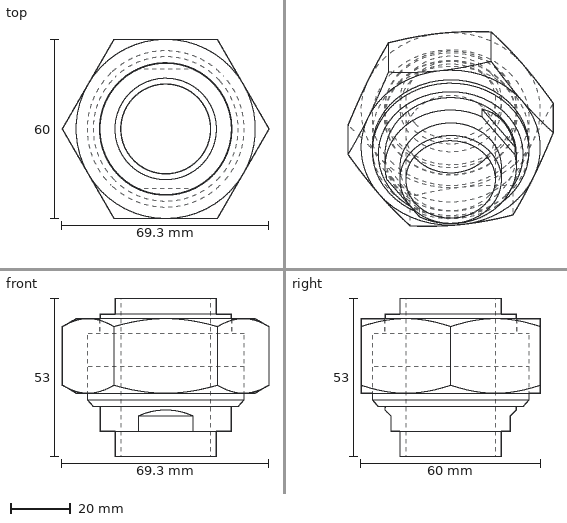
import cadquery as cq
import math


total_height = 53.0
bore_radius = 15.0
pipe_radius = 17.0
collar_radius = 22.0
thread_radius = 26.25

lower_collar_z = 8.4
thread_bottom_z = 16.7
thread_chamfer_height = 2.3
thread_chamfer_width = 2.0
flat_distance = 20.0
flat_top_z = 13.6

nut_across_flats = 60.0
nut_bottom_z = 21.2
nut_height = 25.0
nut_chamfer_angle = 30.0
nut_lip_thickness = 5.0
nut_hole_radius = 22.2
nut_top_z = nut_bottom_z + nut_height
nut_lip_z = nut_top_z - nut_lip_thickness

flange_thickness = 11.0
tail_collar_top_z = 47.7
joint_z = nut_lip_z - flange_thickness


def cylinder(radius, bottom_z, top_z):
    return cq.Workplane("XY").workplane(offset=bottom_z).circle(radius).extrude(top_z - bottom_z)


def revolve_profile(points):
    """Revolve a closed (radius, z) outline about the Z axis."""
    return cq.Workplane("XZ").polyline(points).close().revolve(360, (0, 0), (0, 1))


def wrench_flat_cutter():
    """Removes the +Y side of the collar down to a flat that runs out upward at 45 degrees."""
    depth = collar_radius - flat_distance
    outline = [
        (flat_distance, lower_collar_z),
        (flat_distance, flat_top_z),
        (collar_radius, flat_top_z + depth),
        (collar_radius, lower_collar_z),
    ]
    return cq.Workplane("YZ").polyline(outline).close().extrude(collar_radius, both=True)


def make_lower_body():
    body = revolve_profile([
        (bore_radius, 0),
        (pipe_radius, 0),
        (pipe_radius, lower_collar_z),
        (collar_radius, lower_collar_z),
        (collar_radius, thread_bottom_z),
        (thread_radius - thread_chamfer_width, thread_bottom_z),
        (thread_radius, thread_bottom_z + thread_chamfer_height),
        (thread_radius, joint_z),
        (bore_radius, joint_z),
    ])
    for angle in (0, 180):
        body = body.cut(wrench_flat_cutter().rotate((0, 0, 0), (0, 0, 1), angle))
    return body


def make_tail_piece():
    return revolve_profile([
        (bore_radius, joint_z),
        (thread_radius, joint_z),
        (thread_radius, nut_lip_z),
        (collar_radius, nut_lip_z),
        (collar_radius, tail_collar_top_z),
        (pipe_radius, tail_collar_top_z),
        (pipe_radius, total_height),
        (bore_radius, total_height),
    ])


def make_nut():
    inscribed_radius = nut_across_flats / 2
    corner_radius = inscribed_radius / math.cos(math.pi / 6)
    chamfer_height = (corner_radius - inscribed_radius) * math.tan(math.radians(nut_chamfer_angle))

    hexagon = cq.Workplane("XY").workplane(offset=nut_bottom_z)
    hexagon = hexagon.polygon(6, 2 * corner_radius).extrude(nut_height)

    blank = revolve_profile([
        (0, nut_bottom_z),
        (inscribed_radius, nut_bottom_z),
        (corner_radius, nut_bottom_z + chamfer_height),
        (corner_radius, nut_top_z - chamfer_height),
        (inscribed_radius, nut_top_z),
        (0, nut_top_z),
    ])
    nut = hexagon.intersect(blank)
    nut = nut.cut(cylinder(thread_radius, nut_bottom_z, nut_lip_z))
    return nut.cut(cylinder(nut_hole_radius, nut_lip_z, nut_top_z))


lower_body = make_lower_body()
tail_piece = make_tail_piece()
union_nut = make_nut()

result = cq.Compound.makeCompound([lower_body.val(), tail_piece.val(), union_nut.val()])